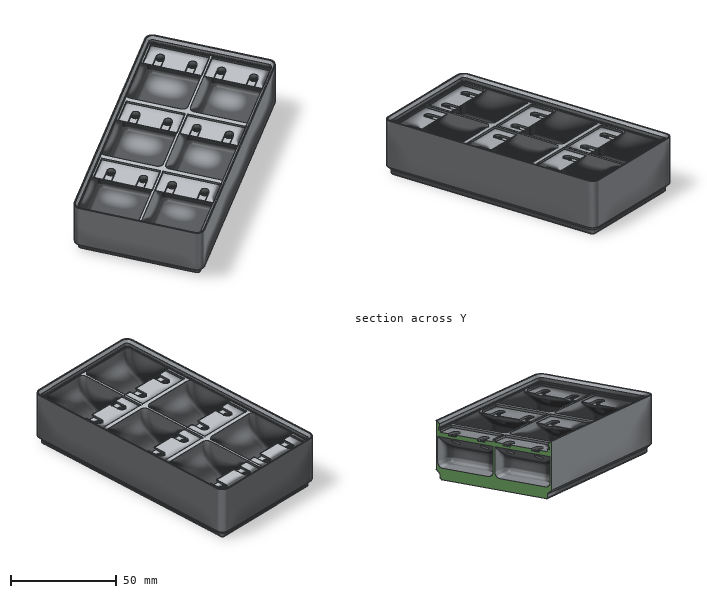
import cadquery as cq
import math

WIDTH = 64.5
LENGTH = 122.5
HEIGHT = 29.0
CORNER_RADIUS = 3.8

FOOT_INSET = 2.1
FOOT_CHAMFER = 0.8
FOOT_NECK = 1.8
BODY_BOTTOM = FOOT_CHAMFER + FOOT_NECK

RIM_WIDTH = 0.55
LIP_CHAMFER = 1.3
LIP_INSET = RIM_WIDTH + LIP_CHAMFER
LIP_DEPTH = 3.3
LIP_BOTTOM = HEIGHT - LIP_DEPTH

UNDERCUT_INSET = 1.3
UNDERCUT_HEIGHT = 1.0
DECK_Z = LIP_BOTTOM - UNDERCUT_HEIGHT

COLUMNS = 2
ROWS = 3
SIDE_WALL = 0.95
FRONT_WALL = LIP_INSET
DIVIDER = 1.2
FLOOR_Z = 6.0
POCKET_FILLET = 2.7
SCOOP_RADIUS = 16.0
POCKET_WIDTH = (WIDTH - 2 * SIDE_WALL - (COLUMNS - 1) * DIVIDER) / COLUMNS
POCKET_LENGTH = (LENGTH - SIDE_WALL - FRONT_WALL - (ROWS - 1) * DIVIDER) / ROWS
ROW_PITCH = POCKET_LENGTH + DIVIDER

SHELF_REACH = 13.6
SHELF_FRONT_THICKNESS = 0.2
SHELF_FRONT_ROUND = 0.7
SHELF_SLOPE = 36.0
RECESS_DEPTH = 1.1
RECESS_BACK_MARGIN = 1.1
RECESS_SIDE_MARGIN = 1.6
RECESS_WIDTH = POCKET_WIDTH - RECESS_SIDE_MARGIN
RECESS_LENGTH = SHELF_REACH - RECESS_BACK_MARGIN
SHELF_Z = DECK_Z - RECESS_DEPTH

BORE_DIAMETER = 4.0
BORE_SPACING = 16.0
SLOT_DEPTH = 1.0
BORE_BOTTOM = FLOOR_Z + POCKET_FILLET


def rounded_block(inset, bottom_z, top_z, bottom_chamfer):
    """Block parallel to the outer walls, with its bottom rim chamfered."""
    block = (
        cq.Workplane("XY")
        .workplane(offset=bottom_z)
        .rect(WIDTH - 2 * inset, LENGTH - 2 * inset)
        .extrude(top_z - bottom_z)
        .edges("|Z")
        .fillet(CORNER_RADIUS - inset)
    )
    if bottom_chamfer > 0:
        block = block.faces("<Z").edges().chamfer(bottom_chamfer)
    return block


def box_between(x_range, y_range, z_range):
    """Box given by its lower and upper limits along each axis."""
    corner = (x_range[0], y_range[0], z_range[0])
    size = [limits[1] - limits[0] for limits in (x_range, y_range, z_range)]
    return cq.Workplane("XY").box(*size, centered=False).translate(corner)


def pocket(left_x, back_y):
    """Rounded pocket volume with a large scoop at its front."""
    block = box_between(
        (left_x, left_x + POCKET_WIDTH),
        (back_y - POCKET_LENGTH, back_y),
        (FLOOR_Z, DECK_Z),
    )
    block = block.edges("<Y and <Z").fillet(SCOOP_RADIUS)
    side_and_back_faces = block.faces("<X or >X or >Y")
    return side_and_back_faces.edges("not >Z").fillet(POCKET_FILLET)


def shelf(left_x, back_y):
    """Shelf across the pocket's back, carried by a sloping underside."""
    drop = SHELF_REACH * math.tan(math.radians(SHELF_SLOPE))
    front_y = back_y - SHELF_REACH
    front_bottom_z = SHELF_Z - SHELF_FRONT_THICKNESS
    return (
        cq.Workplane("YZ")
        .workplane(offset=left_x)
        .moveTo(back_y, DECK_Z)
        .lineTo(front_y, DECK_Z)
        .lineTo(front_y, front_bottom_z)
        .lineTo(back_y, front_bottom_z - drop)
        .close()
        .extrude(POCKET_WIDTH)
        .edges("<Y and >Z")
        .fillet(SHELF_FRONT_ROUND)
    )


def shelf_cuts(recess_left_x, back_y):
    """Label recess in the shelf with its two keyholes."""
    front_y = back_y - SHELF_REACH
    bore_y = front_y + RECESS_LENGTH / 2
    middle_x = recess_left_x + RECESS_WIDTH / 2
    cuts = box_between(
        (recess_left_x, recess_left_x + RECESS_WIDTH),
        (front_y, front_y + RECESS_LENGTH),
        (SHELF_Z, DECK_Z),
    )
    for side in (-1, 1):
        bore_x = middle_x + side * BORE_SPACING / 2
        bore = (
            cq.Workplane("XY")
            .workplane(offset=BORE_BOTTOM)
            .center(bore_x, bore_y)
            .circle(BORE_DIAMETER / 2)
            .extrude(SHELF_Z - BORE_BOTTOM)
        )
        slot = box_between(
            (bore_x - BORE_DIAMETER / 2, bore_x + BORE_DIAMETER / 2),
            (front_y, bore_y),
            (SHELF_Z - SLOT_DEPTH, SHELF_Z),
        )
        cuts = cuts.union(bore).union(slot)
    return cuts


body = rounded_block(0, BODY_BOTTOM, HEIGHT, FOOT_INSET)
foot = rounded_block(FOOT_INSET, 0, BODY_BOTTOM + FOOT_INSET, FOOT_CHAMFER)
result = body.union(foot)

well = rounded_block(LIP_INSET, DECK_Z, HEIGHT, 0)
undercut = rounded_block(UNDERCUT_INSET, DECK_Z, LIP_BOTTOM, 0)
flare_top = HEIGHT + LIP_CHAMFER
flare = rounded_block(RIM_WIDTH, HEIGHT - LIP_CHAMFER, flare_top, LIP_CHAMFER)
result = result.cut(well).cut(undercut).cut(flare)

for row in range(ROWS):
    pocket_back_y = LENGTH / 2 - SIDE_WALL - row * ROW_PITCH
    for column in range(COLUMNS):
        pocket_left_x = -WIDTH / 2 + SIDE_WALL + column * (POCKET_WIDTH + DIVIDER)
        recess_shift = RECESS_SIDE_MARGIN if column == 0 else 0
        hollow = pocket(pocket_left_x, pocket_back_y).cut(shelf(pocket_left_x, pocket_back_y))
        result = result.cut(hollow)
        result = result.cut(shelf_cuts(pocket_left_x + recess_shift, pocket_back_y))